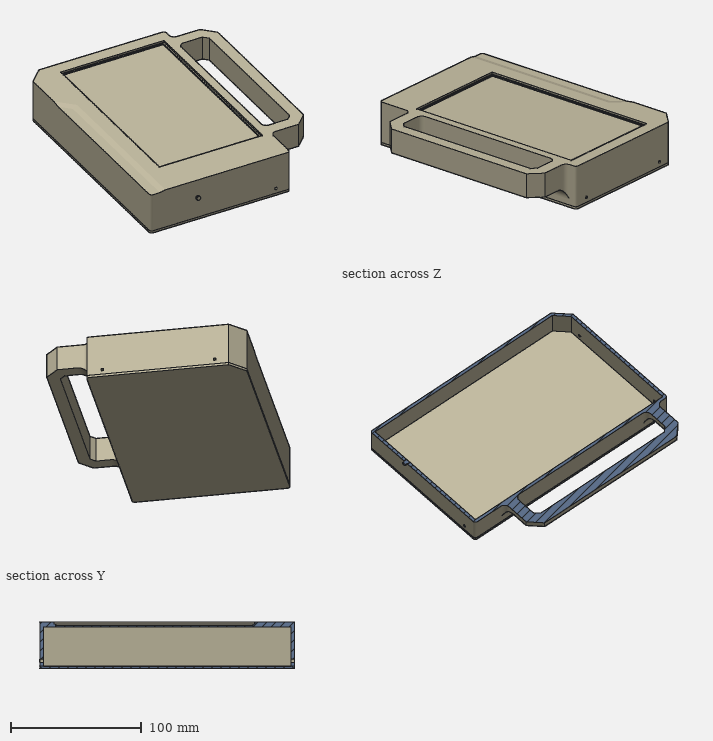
import cadquery as cq
import math

overall_length = 196.5
overall_depth = 157.2
overall_height = 35.8

button_projection = 1.5
case_length = overall_length - button_projection
case_depth = 122.6
lid_thickness = 2.0
wall = 3.0
roof = 4.0
front_chamfer = 12.0
corner_radius = 2.4
cavity_top = overall_height - roof

handle_left = 10.8
handle_right = 164.5
handle_bar = 9.8
handle_post = 10.5
slot_chamfer = 4.0
handle_height = 20.0
handle_chamfer = 10.0
handle_blend = 4.5
under_handle_radius = 9.2

rim_left = 11.0
rim_front = 25.0
rim_length = 153.3
rim_depth = 90.6
rim_drop = 1.5
ledge = 1.4
screen_drop = 1.0
screen_left = rim_left + ledge
screen_front = rim_front + ledge
screen_length = rim_length - 2 * ledge
screen_depth = rim_depth - 2 * ledge

strip_drop = 1.0
strip_back_top = 13.2
strip_back_floor = 8.3
strip_start_top = 44.8
strip_start_floor = 51.7
strip_overrun = 2.0

button_diameter = 3.5
button_y = 41.5
button_z = 19.9

side_hole_diameter = 2.0
side_hole_z = 6.0
front_hole_y = 22.8
rear_hole_y = 110.3


def box(x, y, z, length, depth, height):
    """Box with its lowest corner at (x, y, z)."""
    return cq.Workplane("XY").box(length, depth, height, centered=False).translate((x, y, z))


def rod_along_x(x, y, z, diameter, length):
    """Cylinder that starts at (x, y, z) and runs toward +X."""
    return cq.Workplane("YZ", origin=(x, y, z)).circle(diameter / 2).extrude(length)


def case_block(bottom, top):
    """Case footprint between two heights: one large chamfer and three small rounds."""
    block = box(0, 0, bottom, case_length, case_depth, top - bottom)
    block = block.edges("|Z and <X and <Y").chamfer(front_chamfer)
    block = block.edges("|Z and (>X or >Y)").fillet(corner_radius)
    return block


def handle_plan():
    """Solid handle outline at full height, with rounded feet that flare into the rear wall."""
    blend_y = case_depth + handle_blend
    chamfer_y = overall_depth - handle_chamfer
    return (
        cq.Workplane("XY", origin=(0, 0, lid_thickness))
        .moveTo(handle_left - handle_blend, case_depth)
        .radiusArc((handle_left, blend_y), -handle_blend)
        .lineTo(handle_left, chamfer_y)
        .lineTo(handle_left + handle_chamfer, overall_depth)
        .lineTo(handle_right - handle_chamfer, overall_depth)
        .lineTo(handle_right, chamfer_y)
        .lineTo(handle_right, blend_y)
        .radiusArc((handle_right + handle_blend, case_depth), -handle_blend)
        .close()
        .extrude(overall_height - lid_thickness)
    )


def hand_slot():
    """Finger opening: rounded corners at the case, chamfered corners at the grip bar."""
    slot_left = handle_left + handle_post
    slot_length = handle_right - handle_left - 2 * handle_post
    slot_depth = overall_depth - handle_bar - case_depth
    slot = box(slot_left, case_depth, 0, slot_length, slot_depth, overall_height)
    slot = slot.edges("|Z and <Y").fillet(handle_blend)
    return slot.edges("|Z and >Y").chamfer(slot_chamfer)


def under_handle_space():
    """Space below the handle, with a round that carries the rear wall into the handle's underside."""
    underside = overall_height - handle_height
    return (
        cq.Workplane("YZ")
        .moveTo(case_depth, 0)
        .lineTo(case_depth, underside - under_handle_radius)
        .radiusArc((case_depth + under_handle_radius, underside), under_handle_radius)
        .lineTo(overall_depth, underside)
        .lineTo(overall_depth, 0)
        .close()
        .extrude(case_length)
    )


def make_handle():
    """Loop handle on the rear wall, level with the roof."""
    return handle_plan().cut(hand_slot()).cut(under_handle_space())


def make_cavity():
    """Hollow interior, open toward the lid, that keeps the wall thickness at the chamfered corner."""
    height = cavity_top - lid_thickness
    cavity = box(wall, wall, lid_thickness, case_length - 2 * wall, case_depth - 2 * wall, height)
    inner_chamfer = front_chamfer - wall * (2 - math.sqrt(2))
    return cavity.edges("|Z and <X and <Y").chamfer(inner_chamfer)


def screen_opening():
    """Rim pocket in the roof and the smaller opening below it."""
    rim = box(rim_left, rim_front, overall_height - rim_drop, rim_length, rim_depth, rim_drop)
    window = box(screen_left, screen_front, cavity_top, screen_length, screen_depth, roof)
    return rim.union(window)


def lowered_strip():
    """Shallow step along the front edge whose rear and left borders slope down to its floor."""
    floor = overall_height - strip_drop

    def outline(z, back, start):
        """Strip outline at one height; its left border runs at 45 degrees from the front edge."""
        return (
            cq.Workplane("XY", origin=(0, 0, z))
            .moveTo(start - strip_overrun, -strip_overrun)
            .lineTo(start + back, back)
            .lineTo(case_length + strip_overrun, back)
            .lineTo(case_length + strip_overrun, -strip_overrun)
            .close()
            .wires()
            .val()
        )

    top = outline(overall_height, strip_back_top, strip_start_top)
    bottom = outline(floor, strip_back_floor, strip_start_floor)
    return cq.Workplane(cq.Solid.makeLoft([bottom, top], True))


def side_holes():
    """Two holes in the -X wall; the rear one is repeated in the +X wall."""
    front = rod_along_x(0, front_hole_y, side_hole_z, side_hole_diameter, wall)
    rear = rod_along_x(0, rear_hole_y, side_hole_z, side_hole_diameter, case_length)
    return front.union(rear)


def make_button():
    """Round button that passes through the +X wall and stands out from it."""
    inner_face = case_length - wall
    return rod_along_x(inner_face, button_y, button_z, button_diameter, wall + button_projection)


def make_housing():
    """Hollow case with its handle, screen opening, front strip, side holes and button hole."""
    housing = case_block(lid_thickness, overall_height).union(make_handle())
    for void in (make_cavity(), screen_opening(), lowered_strip(), side_holes(), make_button()):
        housing = housing.cut(void)
    return housing


def make_lid():
    """Flat plate that closes the bottom of the case."""
    return case_block(0, lid_thickness)


def make_screen():
    """Panel that fills the roof opening and lies below the rim pocket."""
    thickness = roof - rim_drop - screen_drop
    return box(screen_left, screen_front, cavity_top, screen_length, screen_depth, thickness)


housing = make_housing()
lid = make_lid()
screen = make_screen()
button = make_button()

result = cq.Compound.makeCompound([housing.val(), lid.val(), screen.val(), button.val()])